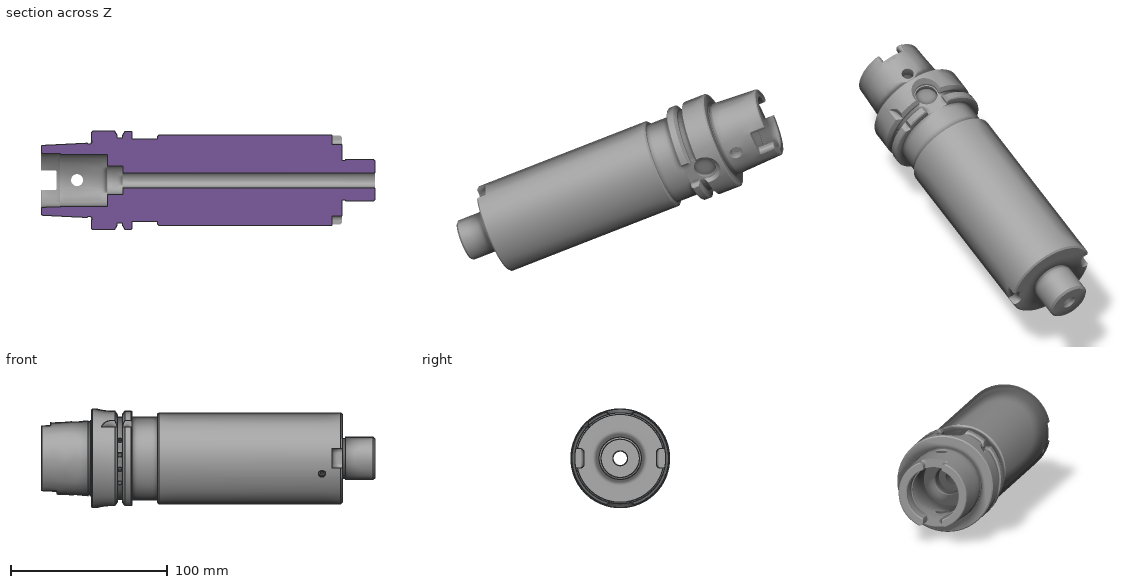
import cadquery as cq
import math


shank_length = 32.0
gauge_radius = 24.0
taper_slope = 1 / 20
shank_tip_radius = gauge_radius - taper_slope * shank_length
shank_tip_chamfer = 0.6
relief_start = -2.3
relief_end = -0.5
relief_depth = 0.6

bore_radius = 17.0
bore_mouth_chamfer = 0.6
bore_mouth_length = 12.0
clamping_radius = 16.4
bore_floor_x = 10.0
coolant_seat_radius = 9.0
coolant_seat_depth = 10.0
coolant_seat_chamfer = 0.5
coolant_radius = 4.6

flange_radius = 31.5
flange_end_x = 26.0
flange_chamfer = 0.7
contact_face_inner_radius = 25.3
face_recess = 0.2
groove_center_x = 18.1
groove_floor_width = 3.2
groove_floor_radius = 27.3
groove_wall_radius = 28.7
groove_flank_angle = 30.0

neck_radius = 26.5
body_start_x = 42.0
body_end_x = 160.0
body_radius = 29.0
body_chamfer = 1.0
spigot_length = 21.0
spigot_radius = 13.5
spigot_chamfer = 1.3
spigot_relief_length = 2.0
spigot_relief_depth = 0.7
spigot_end_x = body_end_x + spigot_length

drive_slot_width = 12.5
drive_slot_round = 2.5
drive_slot_end_fillet = 1.0
drive_slot_depth_top = 6.0
drive_slot_depth_bottom = 10.0

cross_hole_x = -9.0
cross_hole_diameter = 7.6
cross_hole_chamfer = 0.4

keyway_center_x = 13.0
keyway_pocket_radius = 7.0
keyway_end_radius = 7.7
keyway_rim_radius = 9.2
keyway_rim_height = 2.4
keyway_pocket_floor_z = 23.0
keyway_slot_width = 14.6
keyway_floor_z = 26.3
keyway_chamfer = 1.8

notch_center_x = 13.3
notch_cutter_radius = 8.0
notch_wall_y = -20.2
notch_floor_z = 20.0

balance_hole_diameter = 3.0
balance_hole_depth = 4.0
balance_hole_angles = (25, 5, -15, -35)

key_slot_width = 12.5
key_slot_length = 6.5
key_slot_floor = 23.0
key_slot_fillet = 2.7

nozzle_x = 147.0
nozzle_angle = -20.0
nozzle_diameter = 4.4
nozzle_depth = 2.5
nozzle_pilot_diameter = 2.0
nozzle_pilot_depth = 6.0


def taper_radius(x):
    return gauge_radius + taper_slope * x


def revolve_about_x(points):
    profile = cq.Workplane("XY").polyline(points).close()
    return profile.revolve(360, (0, 0, 0), (1, 0, 0))


def half_turn(tool):
    return tool.rotate((0, 0, 0), (1, 0, 0), 180)


def turned_body():
    half_floor = groove_floor_width / 2
    flank_run = (flange_radius - groove_wall_radius) * math.tan(math.radians(groove_flank_angle))
    groove_left = groove_center_x - half_floor
    groove_right = groove_center_x + half_floor
    relief_end_x = body_end_x + spigot_relief_length
    spigot_relief_radius = spigot_radius - spigot_relief_depth
    return revolve_about_x([
        (-shank_length, 0),
        (-shank_length, shank_tip_radius - shank_tip_chamfer),
        (-shank_length + shank_tip_chamfer, taper_radius(-shank_length + shank_tip_chamfer)),
        (relief_start, taper_radius(relief_start)),
        (relief_start, gauge_radius - relief_depth),
        (relief_end, gauge_radius - relief_depth),
        (relief_end, gauge_radius),
        (face_recess, gauge_radius),
        (face_recess, contact_face_inner_radius),
        (0, contact_face_inner_radius),
        (0, flange_radius - flange_chamfer),
        (flange_chamfer, flange_radius),
        (groove_left - flank_run, flange_radius),
        (groove_left, groove_wall_radius),
        (groove_left, groove_floor_radius),
        (groove_right, groove_floor_radius),
        (groove_right, groove_wall_radius),
        (groove_right + flank_run, flange_radius),
        (flange_end_x - flange_chamfer, flange_radius),
        (flange_end_x, flange_radius - flange_chamfer),
        (flange_end_x, neck_radius),
        (body_start_x, neck_radius),
        (body_start_x, body_radius - body_chamfer),
        (body_start_x + body_chamfer, body_radius),
        (body_end_x - body_chamfer, body_radius),
        (body_end_x, body_radius - body_chamfer),
        (body_end_x, spigot_relief_radius),
        (relief_end_x, spigot_relief_radius),
        (relief_end_x, spigot_radius),
        (spigot_end_x - spigot_chamfer, spigot_radius),
        (spigot_end_x, spigot_radius - spigot_chamfer),
        (spigot_end_x, 0),
    ])


def axial_bore():
    mouth_x = -shank_length
    mouth_end_x = mouth_x + bore_mouth_length
    seat_end_x = bore_floor_x + coolant_seat_depth
    return revolve_about_x([
        (mouth_x, 0),
        (mouth_x, bore_radius + bore_mouth_chamfer),
        (mouth_x + bore_mouth_chamfer, bore_radius),
        (mouth_end_x, bore_radius),
        (mouth_end_x, clamping_radius),
        (bore_floor_x, clamping_radius),
        (bore_floor_x, coolant_seat_radius + coolant_seat_chamfer),
        (bore_floor_x + coolant_seat_chamfer, coolant_seat_radius),
        (seat_end_x, coolant_seat_radius),
        (seat_end_x, coolant_radius),
        (spigot_end_x, coolant_radius),
        (spigot_end_x, 0),
    ])


def drive_slot(depth):
    """Slot in the +Z side of the shank tip with rounded outer edges and a filleted inner end."""
    half = drive_slot_width / 2
    outer_half = half + drive_slot_round
    round_top = math.sqrt(shank_tip_radius**2 - outer_half**2)
    round_bottom = round_top - drive_slot_round
    diagonal = drive_slot_round * (1 - math.sqrt(0.5))
    return (
        cq.Workplane("YZ", origin=(-shank_length, 0, 0))
        .moveTo(-half, 0)
        .lineTo(-half, round_bottom)
        .threePointArc((-half - diagonal, round_top - diagonal), (-outer_half, round_top))
        .lineTo(-outer_half, gauge_radius)
        .lineTo(outer_half, gauge_radius)
        .lineTo(outer_half, round_top)
        .threePointArc((half + diagonal, round_top - diagonal), (half, round_bottom))
        .lineTo(half, 0)
        .close()
        .extrude(depth)
        .faces(">X")
        .edges()
        .fillet(drive_slot_end_fillet)
    )


def cross_hole():
    """Hole through both walls of the taper with a chamfer at each mouth."""
    radius = cross_hole_diameter / 2
    surface_z = taper_radius(cross_hole_x)
    hole = (
        cq.Workplane("XY", origin=(cross_hole_x, 0, -gauge_radius))
        .circle(radius)
        .extrude(2 * gauge_radius)
    )
    mouth = cq.Workplane(cq.Solid.makeCone(
        radius,
        radius + 2 * cross_hole_chamfer,
        2 * cross_hole_chamfer,
        pnt=cq.Vector(cross_hole_x, 0, surface_z - cross_hole_chamfer),
    ))
    return hole.union(mouth).union(half_turn(mouth))


def keyway():
    """Round-ended channel on the +Z side, open to +X, with a deeper round pocket in its end.

    The round end flares out in a steep cone and the channel edges are chamfered.
    """
    height = flange_radius - keyway_floor_z
    run = flange_end_x - keyway_center_x
    base = cq.Workplane("XY", origin=(0, 0, keyway_floor_z))
    pocket = (
        cq.Workplane("XY", origin=(keyway_center_x, 0, keyway_pocket_floor_z))
        .circle(keyway_pocket_radius)
        .extrude(flange_radius - keyway_pocket_floor_z)
    )
    round_end = base.center(keyway_center_x, 0).circle(keyway_end_radius).extrude(height)
    channel = base.center(keyway_center_x + run / 2, 0).rect(run, keyway_slot_width).extrude(height)
    rim_z = math.sqrt(flange_radius**2 - keyway_rim_radius**2)
    rim_flare = keyway_rim_radius - keyway_end_radius
    rim_cone = cq.Solid.makeCone(
        keyway_end_radius,
        keyway_end_radius + 2 * rim_flare,
        2 * keyway_rim_height,
        pnt=cq.Vector(keyway_center_x, 0, rim_z - keyway_rim_height),
    )
    half = keyway_slot_width / 2
    rim_channel = (
        cq.Workplane("YZ", origin=(keyway_center_x, 0, rim_z - keyway_chamfer))
        .polyline([
            (-half, 0),
            (half, 0),
            (half + 2 * keyway_chamfer, 2 * keyway_chamfer),
            (-half - 2 * keyway_chamfer, 2 * keyway_chamfer),
        ])
        .close()
        .extrude(run)
    )
    flared_rim = cq.Workplane(rim_cone).union(rim_channel)
    return pocket.union(round_end).union(channel).union(flared_rim)


def orientation_notch():
    """Square corner notch between -Y and +Z, ended by the radius of the cutter."""
    height = flange_radius - notch_floor_z
    run = flange_end_x - notch_center_x
    base = cq.Workplane("XY", origin=(notch_center_x, notch_wall_y - notch_cutter_radius, notch_floor_z))
    round_end = base.circle(notch_cutter_radius).extrude(height)
    channel = base.center(run / 2, 0).rect(run, 2 * notch_cutter_radius).extrude(height)
    return round_end.union(channel)


def radial_hole(x, angle, surface_radius, diameter, depth):
    """Blind hole toward the axis, entered at an angle above the -Y direction."""
    a = math.radians(angle)
    outward = cq.Vector(0, -math.cos(a), math.sin(a))
    start = cq.Vector(x, 0, 0) + outward * (surface_radius - depth)
    margin = 1.0
    return cq.Workplane(cq.Solid.makeCylinder(diameter / 2, depth + margin, start, outward))


def nozzle_hole():
    mouth = radial_hole(nozzle_x, nozzle_angle, body_radius, nozzle_diameter, nozzle_depth)
    pilot = radial_hole(nozzle_x, nozzle_angle, body_radius, nozzle_pilot_diameter, nozzle_pilot_depth)
    return mouth.union(pilot)


def key_slot():
    """Slot in the -Y side of the front face with filleted floor corners."""
    depth = body_radius - key_slot_floor
    return (
        cq.Workplane("XY")
        .box(key_slot_length, depth, key_slot_width)
        .edges("|X and >Y")
        .fillet(key_slot_fillet)
        .translate((body_end_x - key_slot_length / 2, -key_slot_floor - depth / 2, 0))
    )


result = turned_body().cut(axial_bore()).cut(cross_hole())
result = result.cut(drive_slot(drive_slot_depth_top))
result = result.cut(half_turn(drive_slot(drive_slot_depth_bottom)))
result = result.cut(orientation_notch())

for angle in balance_hole_angles:
    hole = radial_hole(
        groove_center_x, angle, groove_floor_radius, balance_hole_diameter, balance_hole_depth
    )
    result = result.cut(hole)

for tool in (keyway(), nozzle_hole(), key_slot()):
    result = result.cut(tool).cut(half_turn(tool))